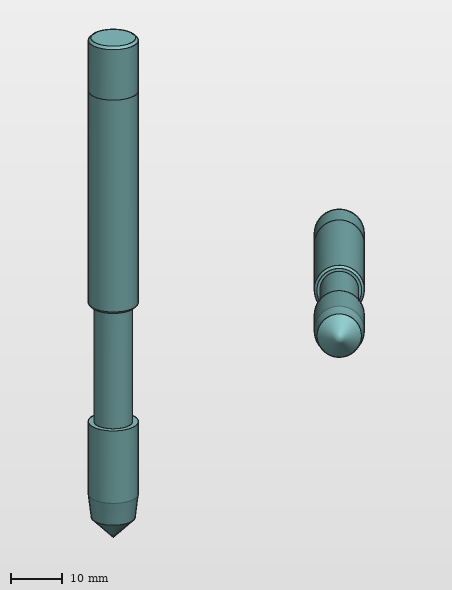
import cadquery as cq

total_length = 104.2
body_radius = 4.85

point_radius = 4.3
point_height = point_radius
nose_height = 9.1

head_top = 24.2
neck_radius = 3.8
shank_bottom = 48.5

cap_height = 11.0
cap_bottom = total_length - cap_height
edge_chamfer = 0.5


def make_pin():
    """Shank, neck and pointed head, turned as one body."""
    return (
        cq.Workplane("XZ")
        .moveTo(0, 0)
        .lineTo(point_radius, point_height)
        .lineTo(body_radius, nose_height)
        .lineTo(body_radius, head_top)
        .lineTo(neck_radius, head_top)
        .lineTo(neck_radius, shank_bottom)
        .lineTo(body_radius - edge_chamfer, shank_bottom)
        .lineTo(body_radius, shank_bottom + edge_chamfer)
        .lineTo(body_radius, cap_bottom)
        .lineTo(0, cap_bottom)
        .close()
        .revolve(360, (0, 0), (0, 1))
    )


def make_cap():
    """Cylindrical cap with a chamfered top edge, flush with the shank."""
    return (
        cq.Workplane("XY")
        .workplane(offset=cap_bottom)
        .circle(body_radius)
        .extrude(cap_height)
        .faces(">Z")
        .chamfer(edge_chamfer)
    )


pin = make_pin()
cap = make_cap()

result = cq.Compound.makeCompound([pin.val(), cap.val()])